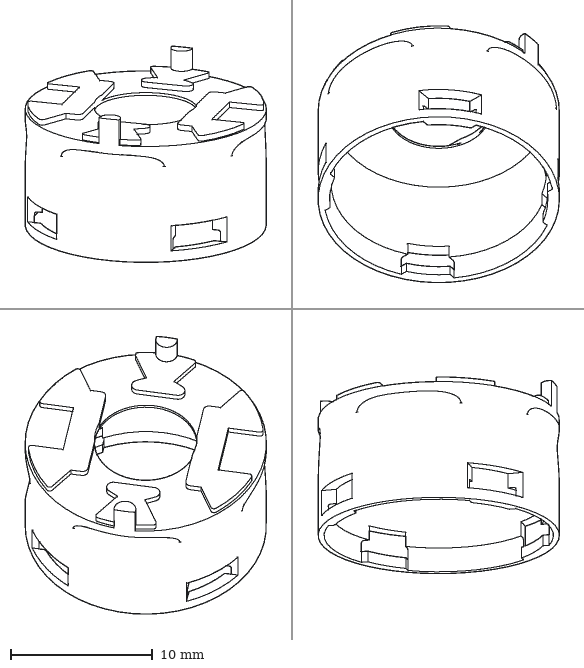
import cadquery as cq
import math

outer_radius = 8.5
body_height = 8.6
plate_thickness = 0.2
bore_radius = 3.6
cavity_radius = 7.58
rebate_radius = 8.08
rebate_height = 1.6
rebate_fillet = 0.15

window_start = 4.23
window_bottom = 0.8
window_top = 2.65
lip_radius = 7.68

scoop_radius = 0.85
scoop_center = 8.45
scoop_height = 7.07
recess_bottom_height = 1.99
recess_rim_fillet = 0.34

pad_height = 0.4
pad_rim_radius = 8.31
pad_tip_fillet = 0.22
side_angle = 60.0

waist_half_width = 0.99
waist_distance = 5.78
foot_distance = 4.5
foot_angle = 30.0
foot_fillet = 0.48

c_inner = 3.5
c_half_length = 3.9
c_corner_fillet = 0.39
notch_start = 5.55
notch_half_width = 2.04
wing_start = 4.65

peg_radius = 0.76
peg_center = 8.3
peg_top = 10.5


def disc(radius, bottom, top):
    """Upright cylinder on the Z axis between two heights."""
    return cq.Workplane("XY").workplane(offset=bottom).circle(radius).extrude(top - bottom)


def window():
    """Square-cornered cutter whose two sides run parallel to X and Y."""
    block = cq.Workplane("XY").box(
        outer_radius, outer_radius, window_top - window_bottom, centered=False
    )
    return block.translate((window_start, window_start, window_bottom))


def lip():
    """Thickening of the wall that carries the window floor inward past the rebate."""
    ring = disc(outer_radius, 0, window_bottom).cut(disc(lip_radius, 0, window_bottom))
    return ring.intersect(window().translate((0, 0, -window_bottom)))


def scoop_point(angle):
    """Point on the scoop arc, at an angle from the inward direction."""
    return (
        scoop_center - scoop_radius * math.cos(angle),
        scoop_height + scoop_radius * math.sin(angle),
    )


def recess_flat():
    """Cutter at +X for the leaning flat and the lower part of the scoop, up to the scoop's center."""
    drop = scoop_height - recess_bottom_height
    inset = outer_radius - scoop_center
    lean = math.asin(scoop_radius / math.hypot(drop, inset)) + math.atan(inset / drop)
    return (
        cq.Workplane("XZ")
        .moveTo(outer_radius, recess_bottom_height)
        .lineTo(*scoop_point(-lean))
        .threePointArc(scoop_point(-lean / 2), scoop_point(0))
        .lineTo(2 * outer_radius, scoop_height)
        .lineTo(2 * outer_radius, recess_bottom_height)
        .close()
        .extrude(outer_radius, both=True)
    )


def recess_scoop():
    """Cutter at +X for the upper quarter of the scoop."""
    return (
        cq.Workplane("XZ")
        .moveTo(*scoop_point(0))
        .threePointArc(scoop_point(math.pi / 4), scoop_point(math.pi / 2))
        .lineTo(2 * outer_radius, scoop_height + scoop_radius)
        .lineTo(2 * outer_radius, scoop_height)
        .close()
        .extrude(outer_radius, both=True)
    )


def waisted_pad():
    """Pad at +Y: a flared head out to the pad rim and a wide rounded foot."""
    flare = (outer_radius - waist_distance) / math.tan(math.radians(side_angle))
    spread = (waist_distance - foot_distance) / math.tan(math.radians(foot_angle))
    right = [
        (waist_half_width + spread, foot_distance),
        (waist_half_width, waist_distance),
        (waist_half_width + flare, outer_radius),
    ]
    left = [(-x, y) for x, y in reversed(right)]
    pad = (
        cq.Workplane("XY")
        .workplane(offset=body_height)
        .polyline(right + left)
        .close()
        .extrude(pad_height)
        .intersect(disc(pad_rim_radius, body_height, body_height + pad_height))
    )
    pad = pad.edges("|Z").edges("<Y").fillet(foot_fillet)
    return pad.edges("|Z").edges(">Y").fillet(pad_tip_fillet)


def c_pad():
    """Pad at +X: a C opening outward, with a pointed wing on each end."""
    level = cq.Workplane("XY").workplane(offset=body_height)
    wing_run = outer_radius - wing_start
    wing_rise = wing_run * math.tan(math.radians(side_angle))
    rim = disc(pad_rim_radius, body_height, body_height + pad_height)
    upper = [
        (notch_start, notch_half_width),
        (outer_radius, notch_half_width),
        (outer_radius, c_half_length + wing_rise),
        (wing_start, c_half_length),
        (c_inner, c_half_length),
    ]
    lower = [(x, -y) for x, y in reversed(upper)]
    pad = level.polyline(upper + lower).close().extrude(pad_height).intersect(rim)
    pad = pad.edges("|Z").edges("<X").fillet(c_corner_fillet)
    tips = cq.selectors.BoxSelector(
        (notch_start + pad_tip_fillet, -outer_radius, 0),
        (outer_radius, outer_radius, peg_top),
    )
    return pad.edges("|Z").edges(tips).fillet(pad_tip_fillet)


def peg():
    """Round peg at +Y, cut off flush with the outer surface of the body."""
    blank = cq.Workplane("XY").center(0, peg_center).circle(peg_radius).extrude(peg_top)
    return blank.intersect(disc(outer_radius, body_height, peg_top))


def around(shape, count):
    """Copies of a shape evenly spaced about the Z axis."""
    return [shape.rotate((0, 0, 0), (0, 0, 1), 360 * i / count) for i in range(count)]


def cup():
    """Body with its finger recesses and eased flat rims, hollowed out from below."""
    body = disc(outer_radius, 0, body_height)
    body = body.rotate((0, 0, 0), (0, 0, 1), 45)
    for cutter in around(recess_flat(), 4):
        body = body.cut(cutter)
    body = body.edges("%ELLIPSE").fillet(recess_rim_fillet)
    for cutter in around(recess_scoop(), 4):
        body = body.cut(cutter)
    cavity = disc(cavity_radius, 0, body_height - plate_thickness)
    rebate = disc(rebate_radius, 0, rebate_height).faces(">Z").edges().fillet(rebate_fillet)
    return body.cut(cavity).cut(rebate)


result = cup()
for cutter in around(window(), 4):
    result = result.cut(cutter)
for added in around(lip(), 4) + around(waisted_pad(), 2):
    result = result.union(added)
for added in around(c_pad(), 2) + around(peg(), 2):
    result = result.union(added)
result = result.cut(disc(bore_radius, 0, peg_top))